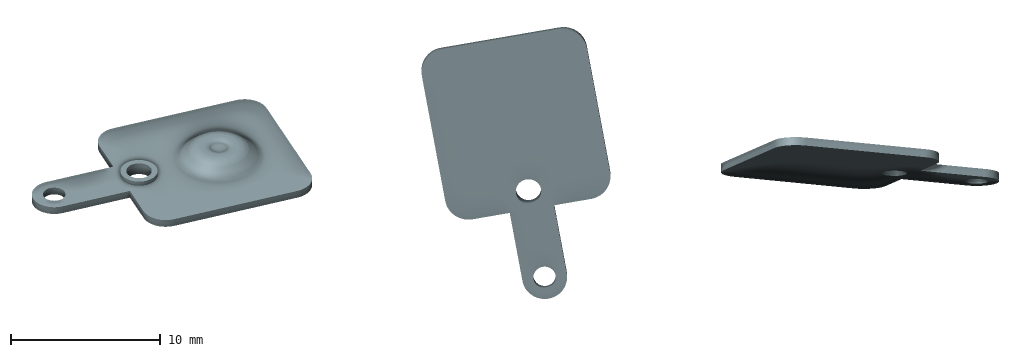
import cadquery as cq
import math

total_length = 18.34
plate_width = 11.2
plate_length = 12.0
plate_thickness = 0.55
corner_radius = 1.58
tongue_width = 3.0
tongue_hole_diameter = 1.5

collar_diameter = 2.5
collar_bore_diameter = 1.7
collar_height = 0.33

dome_from_back_edge = 4.99
dome_top = 1.45
dome_base_radius = 2.99
dome_foot_radius = 2.6
dome_shoulder_radius = 2.0
dome_rim_radius = 1.34
dimple_radius = 1.06
dimple_floor_radius = 0.55
shoulder_arc_radius = 1.0

tongue_tip_y = -total_length + tongue_width / 2
collar_y = -plate_length + collar_diameter / 2


def circular_drop(run, radius):
    """Drop of an arc that starts horizontal, over a horizontal run."""
    return radius - math.sqrt(radius**2 - run**2)


def make_plate():
    body = (
        cq.Workplane("XY")
        .center(0, -plate_length / 2)
        .rect(plate_width, plate_length)
        .extrude(plate_thickness)
        .edges("|Z")
        .fillet(corner_radius)
    )
    half_width = tongue_width / 2
    tongue = (
        cq.Workplane("XY")
        .moveTo(-half_width, collar_y)
        .lineTo(-half_width, tongue_tip_y)
        .threePointArc((0, -total_length), (half_width, tongue_tip_y))
        .lineTo(half_width, collar_y)
        .close()
        .extrude(plate_thickness)
    )
    return body.union(tongue)


def make_dome():
    shoulder_run = dome_shoulder_radius - dome_rim_radius
    slope = math.asin(shoulder_run / shoulder_arc_radius)
    foot_run = dome_base_radius - dome_foot_radius
    foot_z = plate_thickness + foot_run * math.tan(slope / 2)
    shoulder_z = dome_top - circular_drop(shoulder_run, shoulder_arc_radius)
    dimple_run = dimple_radius - dimple_floor_radius
    floor_z = dome_top - circular_drop(dimple_run, shoulder_arc_radius)

    half_run = dimple_run / 2
    half_dimple_z = dome_top - circular_drop(half_run, shoulder_arc_radius)
    half_shoulder_z = dome_top - circular_drop(shoulder_run / 2, shoulder_arc_radius)
    foot_arc_radius = foot_run / math.sin(slope)
    half_foot_z = plate_thickness + circular_drop(foot_run / 2, foot_arc_radius)

    return (
        cq.Workplane("XZ")
        .lineTo(dome_base_radius, 0)
        .lineTo(dome_base_radius, plate_thickness)
        .threePointArc((dome_base_radius - foot_run / 2, half_foot_z), (dome_foot_radius, foot_z))
        .lineTo(dome_shoulder_radius, shoulder_z)
        .threePointArc(
            (dome_rim_radius + shoulder_run / 2, half_shoulder_z),
            (dome_rim_radius, dome_top),
        )
        .lineTo(dimple_radius, dome_top)
        .threePointArc((dimple_radius - half_run, half_dimple_z), (dimple_floor_radius, floor_z))
        .lineTo(0, floor_z)
        .close()
        .revolve(360, (0, 0), (0, 1))
        .translate((0, -dome_from_back_edge, 0))
    )


def make_cylinder(y, diameter, height):
    """Upright cylinder on the centre line, standing on the bottom plane."""
    return cq.Workplane("XY").center(0, y).circle(diameter / 2).extrude(height)


collar_top = plate_thickness + collar_height
collar = make_cylinder(collar_y, collar_diameter, collar_top)
collar_bore = make_cylinder(collar_y, collar_bore_diameter, collar_top)
tongue_hole = make_cylinder(tongue_tip_y, tongue_hole_diameter, plate_thickness)

result = make_plate().union(make_dome()).union(collar).cut(collar_bore).cut(tongue_hole)